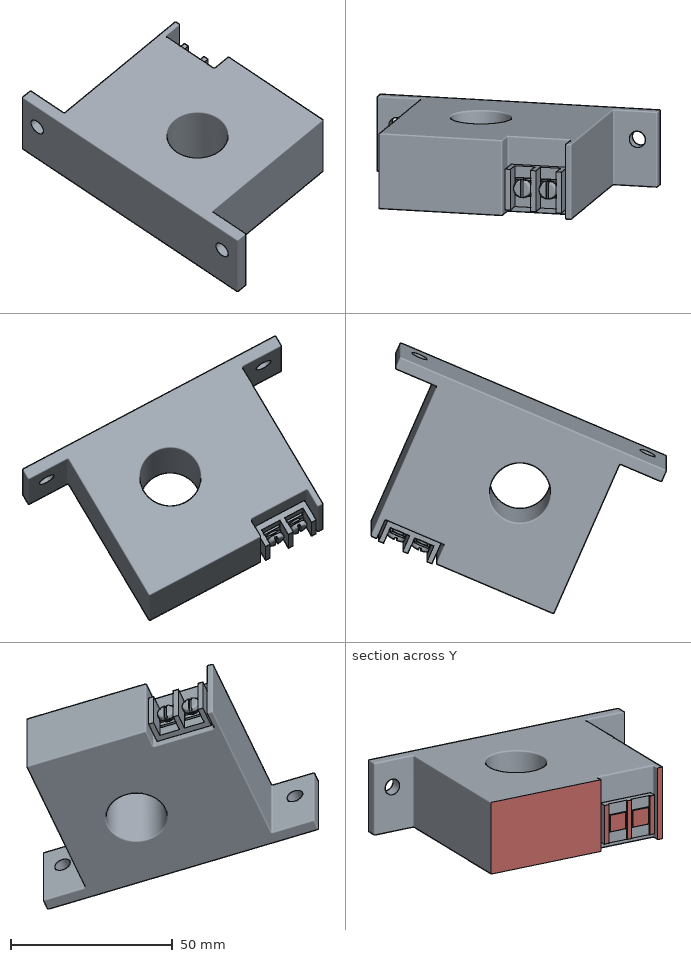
import cadquery as cq


height = 23.85
flange_length = 89.7
flange_thickness = 4.0
body_width = 61.6
body_depth = 55.4
edge_radius = 0.45

notch_left = -28.8
notch_right = -8.8
notch_floor = 48.9

window_x = 6.1
window_y = 24.6
window_diameter = 18.8

mount_hole_spacing = 76.75
mount_hole_diameter = 5.1
mount_hole_z = 14.9

overall_depth = 56.2
block_left = -27.8
block_right = -9.9
block_bottom = 2.15
block_height = 12.9
pocket_floor = 50.8
pocket_width = 6.5
divider_width = 1.7
block_center_x = (block_left + block_right) / 2
block_center_z = block_bottom + block_height / 2
pocket_pitch = pocket_width + divider_width

plate_width = 5.65
plate_thickness = 0.7
shank_diameter = 3.8
shank_length = 0.9
washer_width = 4.9
washer_thickness = 0.5
head_diameter = 5.65
head_height = 1.6
head_rounding = 0.7
slot_width = 0.8
slot_depth = 0.8


def make_housing():
    """T-shaped body with a notched back, every outer edge rounded."""
    half_flange = flange_length / 2
    half_body = body_width / 2
    outline = [
        (-half_flange, 0),
        (half_flange, 0),
        (half_flange, flange_thickness),
        (half_body, flange_thickness),
        (half_body, body_depth),
        (notch_right, body_depth),
        (notch_right, notch_floor),
        (notch_left, notch_floor),
        (notch_left, body_depth),
        (-half_body, body_depth),
        (-half_body, flange_thickness),
        (-half_flange, flange_thickness),
    ]
    return cq.Workplane("XY").polyline(outline).close().extrude(height).edges().fillet(edge_radius)


def cut_window(housing):
    """Round window along Z, both rims rounded like the outer edges."""
    bore = cq.Workplane("XY").center(window_x, window_y).circle(window_diameter / 2).extrude(height)
    rims = cq.selectors.RadiusNthSelector(-1)
    return housing.cut(bore).edges(rims).fillet(edge_radius)


def cut_mount_holes(housing):
    """Two plain holes along Y through the flange ends."""
    half_spacing = mount_hole_spacing / 2
    holes = (
        cq.Workplane("XZ")
        .pushPoints([(-half_spacing, mount_hole_z), (half_spacing, mount_hole_z)])
        .circle(mount_hole_diameter / 2)
        .extrude(-flange_thickness)
    )
    return housing.cut(holes)


def box_between(x_min, x_max, y_min, y_max, z_min, z_max):
    size = (x_max - x_min, y_max - y_min, z_max - z_min)
    return cq.Workplane("XY").box(*size, centered=False).translate((x_min, y_min, z_min))


def make_square(width, y_start, thickness):
    """Square plate along +Y centred on the terminal screw axis."""
    return cq.Workplane("XZ", origin=(0, y_start, 0)).rect(width, width).extrude(-thickness)


def make_disc(diameter, y_start, length):
    """Cylinder along +Y on the terminal screw axis."""
    return cq.Workplane("XZ", origin=(0, y_start, 0)).circle(diameter / 2).extrude(-length)


def make_screw():
    """Slotted screw with its square clamping plate and washer, seated at Y = 0 and pointing along +Y."""
    shank_start = plate_thickness
    washer_start = shank_start + shank_length
    head_start = washer_start + washer_thickness
    head_top = head_start + head_height
    head_radius = head_diameter / 2

    plate = make_square(plate_width, 0, plate_thickness)
    shank = make_disc(shank_diameter, shank_start, shank_length)
    washer = make_square(washer_width, washer_start, washer_thickness)
    head = make_disc(head_diameter, head_start, head_height).faces(">Y").edges().fillet(head_rounding)
    slot = box_between(
        -slot_width / 2, slot_width / 2, head_top - slot_depth, head_top, -head_radius, head_radius
    )
    return plate.union(shank).union(washer).union(head.cut(slot))


def make_terminal_block():
    """Block rooted in the notch floor, with one open pocket and screw per terminal."""
    block_top = block_bottom + block_height
    block = box_between(block_left, block_right, notch_floor, overall_depth, block_bottom, block_top)
    screw = make_screw()
    for side in (-1, 1):
        pocket_x = block_center_x + side * pocket_pitch / 2
        pocket = box_between(
            pocket_x - pocket_width / 2,
            pocket_x + pocket_width / 2,
            pocket_floor,
            overall_depth,
            block_bottom,
            block_top,
        )
        block = block.cut(pocket).union(screw.translate((pocket_x, pocket_floor, block_center_z)))
    return block


housing = cut_mount_holes(cut_window(make_housing()))
result = housing.union(make_terminal_block())